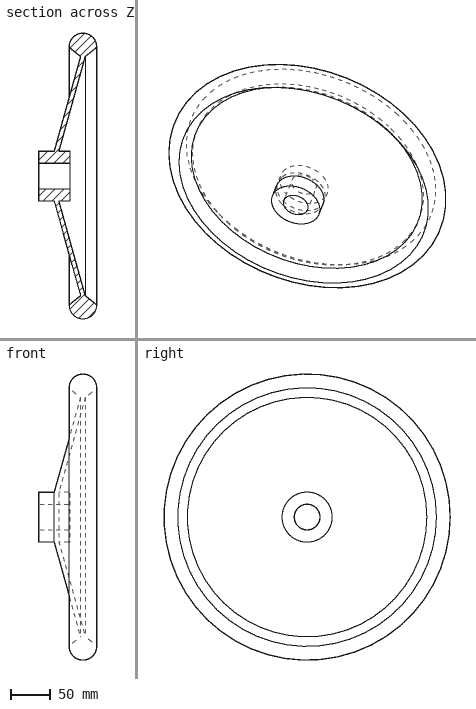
import cadquery as cq

wheel_diameter = 360.0
total_width = 73.0
rim_width = 35.0
hub_diameter = 63.0
bore_diameter = 32.0
hub_length = 39.5
hub_projection = 19.5
web_outer_radius = 150.5
web_depth = 33.0
lip_inset = 3.0

wheel_radius = wheel_diameter / 2
hub_radius = hub_diameter / 2
bore_radius = bore_diameter / 2
rim_radius = rim_width / 2
rim_center_radius = wheel_radius - rim_radius
rim_front = total_width - rim_width
rim_middle = rim_front + rim_radius
lip_radius = rim_center_radius - lip_inset
web_front = hub_projection + web_depth
web_back = 2 * rim_middle - web_front
web_thickness = web_back - web_front


def turned(profile):
    """Revolve an (axial, radial) profile about the X axis."""
    return profile.close().revolve(360, (0, 0, 0), (1, 0, 0))


def make_hub():
    return turned(
        cq.Workplane("XY")
        .moveTo(0, bore_radius)
        .lineTo(0, hub_radius)
        .lineTo(hub_length, hub_radius)
        .lineTo(hub_length, bore_radius)
    )


def make_web_and_rim():
    """Conical web of constant axial thickness with a half-round rim."""
    return turned(
        cq.Workplane("XY")
        .moveTo(hub_projection, hub_radius)
        .lineTo(web_front, web_outer_radius)
        .lineTo(rim_front + lip_inset, lip_radius)
        .lineTo(rim_front, rim_center_radius)
        .threePointArc((rim_middle, wheel_radius), (total_width, rim_center_radius))
        .lineTo(total_width - lip_inset, lip_radius)
        .lineTo(web_back, web_outer_radius)
        .lineTo(hub_projection + web_thickness, hub_radius)
    )


result = make_hub().union(make_web_and_rim())